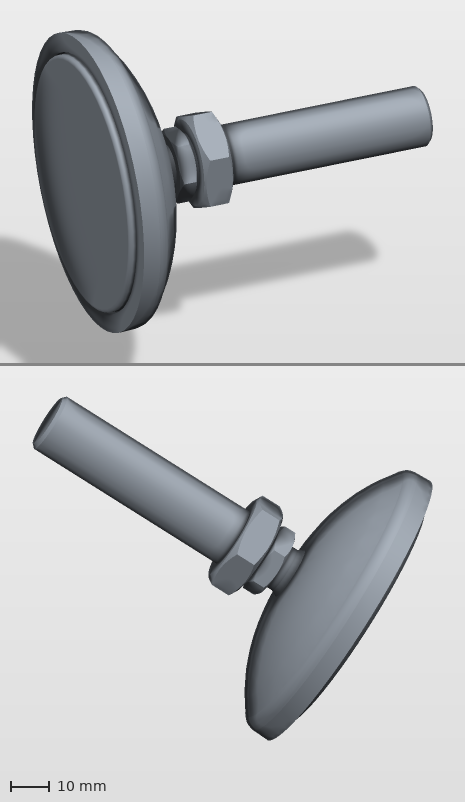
import cadquery as cq
import math

PAD_RADIUS = 33.9
PAD_EDGE_FILLET = 0.9
PAD_PROTRUSION = 1.9
RECESS_DEPTH = 1.9
RECESS_RADIUS = 34.4

PLATE_BASE_Y = PAD_PROTRUSION
RIM_BASE_RADIUS = 39.5
RIM_TOP_RADIUS = 39.3
RIM_TOP_Y = 6.5
SHOULDER_RADIUS = 37.1
SHOULDER_Y = 9.6
SHOULDER_BULGE = 0.5
DOME_FLAT_RADIUS = 7.6
DOME_TOP_Y = 20.0

NECK_RADIUS = 6.2
FLARE_RADIUS = 7.0
FLARE_TOP_Y = 21.7
WRENCH_HEX_FLATS = 17.0
WRENCH_HEX_BASE_Y = 24.1
WRENCH_HEX_HEIGHT = 4.7
WRENCH_HEX_FACE_RADIUS = WRENCH_HEX_FLATS / 2
WRENCH_HEX_TURN = 0.0
SHAFT_RADIUS = 8.0
SHAFT_TOP_Y = 94.7
SHAFT_CHAMFER = 0.9

NUT_FLATS = 24.0
NUT_BASE_Y = 29.6
NUT_HEIGHT = 8.05
NUT_FACE_RADIUS = 11.4
NUT_TURN = 30.0

HEX_CHAMFER_ANGLE = 30.0


def cylinder(radius, base_y, top_y):
    """Cylinder about the Y axis."""
    return cq.Workplane("XZ", origin=(0, base_y, 0)).circle(radius).extrude(base_y - top_y)


def chamfered_hexagon(flats, base_y, height, face_radius, turn):
    """Hexagonal prism about Y, with both ends turned down to a conical chamfer."""
    corner_radius = flats / math.sqrt(3)
    chamfer_height = (corner_radius - face_radius) * math.tan(math.radians(HEX_CHAMFER_ANGLE))
    top_y = base_y + height
    prism = (
        cq.Workplane("XZ", origin=(0, base_y, 0))
        .polygon(6, 2 * corner_radius)
        .extrude(-height)
        .rotate((0, 0, 0), (0, 1, 0), turn)
    )
    turned_envelope = (
        cq.Workplane("XY")
        .moveTo(0, base_y)
        .lineTo(face_radius, base_y)
        .lineTo(corner_radius, base_y + chamfer_height)
        .lineTo(corner_radius, top_y - chamfer_height)
        .lineTo(face_radius, top_y)
        .lineTo(0, top_y)
        .close()
        .revolve(360, (0, 0, 0), (0, 1, 0))
    )
    return prism.intersect(turned_envelope)


def point_on_bulge(start, end, bulge):
    """Point lying outside the middle of a chord by the given bulge."""
    run = end[0] - start[0]
    rise = end[1] - start[1]
    chord = math.hypot(run, rise)
    middle_x = (start[0] + end[0]) / 2 + bulge * rise / chord
    middle_y = (start[1] + end[1]) / 2 - bulge * run / chord
    return middle_x, middle_y


def make_pad():
    pad = cylinder(PAD_RADIUS, 0, PAD_PROTRUSION + RECESS_DEPTH)
    return pad.faces("<Y").edges().fillet(PAD_EDGE_FILLET)


def make_plate():
    rim_top = (RIM_TOP_RADIUS, RIM_TOP_Y)
    shoulder = (SHOULDER_RADIUS, SHOULDER_Y)
    dome_run = SHOULDER_RADIUS - DOME_FLAT_RADIUS
    dome_drop = DOME_TOP_Y - SHOULDER_Y
    dome_arc_radius = (dome_run**2 + dome_drop**2) / (2 * dome_drop)
    half_angle = math.asin(dome_run / dome_arc_radius) / 2
    dome_middle = (
        DOME_FLAT_RADIUS + dome_arc_radius * math.sin(half_angle),
        DOME_TOP_Y - dome_arc_radius * (1 - math.cos(half_angle)),
    )
    body = (
        cq.Workplane("XY")
        .moveTo(0, PLATE_BASE_Y)
        .lineTo(RIM_BASE_RADIUS, PLATE_BASE_Y)
        .lineTo(*rim_top)
        .threePointArc(point_on_bulge(rim_top, shoulder, SHOULDER_BULGE), shoulder)
        .threePointArc(dome_middle, (DOME_FLAT_RADIUS, DOME_TOP_Y))
        .lineTo(0, DOME_TOP_Y)
        .close()
        .revolve(360, (0, 0, 0), (0, 1, 0))
    )
    return body.cut(cylinder(RECESS_RADIUS, PLATE_BASE_Y, PLATE_BASE_Y + RECESS_DEPTH))


def make_spindle():
    hex_top_y = WRENCH_HEX_BASE_Y + WRENCH_HEX_HEIGHT
    flare = (
        cq.Workplane("XY")
        .moveTo(0, DOME_TOP_Y)
        .lineTo(FLARE_RADIUS, DOME_TOP_Y)
        .lineTo(NECK_RADIUS, FLARE_TOP_Y)
        .lineTo(0, FLARE_TOP_Y)
        .close()
        .revolve(360, (0, 0, 0), (0, 1, 0))
    )
    neck = cylinder(NECK_RADIUS, FLARE_TOP_Y, WRENCH_HEX_BASE_Y)
    wrench_hex = chamfered_hexagon(
        WRENCH_HEX_FLATS, WRENCH_HEX_BASE_Y, WRENCH_HEX_HEIGHT, WRENCH_HEX_FACE_RADIUS, WRENCH_HEX_TURN
    )
    shaft = cylinder(SHAFT_RADIUS, hex_top_y, SHAFT_TOP_Y).faces(">Y or <Y").chamfer(SHAFT_CHAMFER)
    return flare.union(neck).union(wrench_hex).union(shaft)


def make_lock_nut():
    nut = chamfered_hexagon(NUT_FLATS, NUT_BASE_Y, NUT_HEIGHT, NUT_FACE_RADIUS, NUT_TURN)
    return nut.cut(cylinder(SHAFT_RADIUS, NUT_BASE_Y, NUT_BASE_Y + NUT_HEIGHT))


pad = make_pad()
plate = make_plate()
spindle = make_spindle()
lock_nut = make_lock_nut()

result = cq.Compound.makeCompound([pad.val(), plate.val(), spindle.val(), lock_nut.val()])